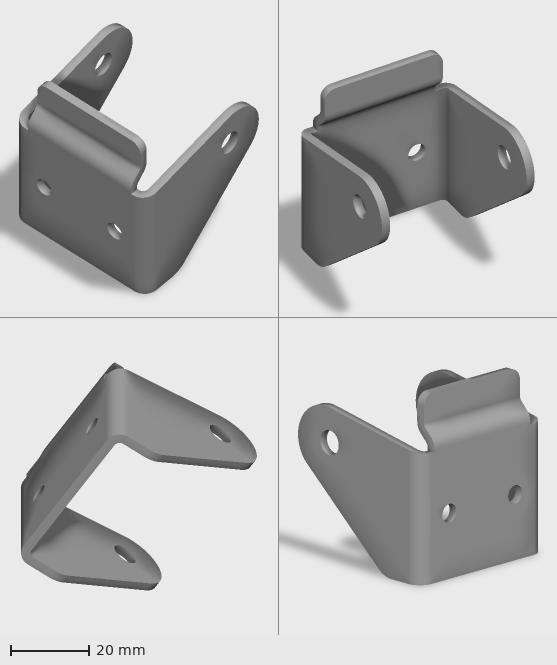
import cadquery as cq
import math

width = 45.1
height = 49.45
depth = 43.9
thickness = 2.4
inner_bend_radius = 1.6
outer_bend_radius = inner_bend_radius + thickness

web_height = 34.75
eye_radius = 9.6
eye_y = depth - eye_radius
eye_z = 31.7
top_slope = math.radians(10.9)
lower_slope = math.radians(41.4)
lower_corner_radius = 6.9
pivot_diameter = 6.6
pivot_y = 32.55

mount_diameter = 5.05
mount_spacing = 23.83
mount_z = 17.45

tab_width = 34.8
tab_corner_radius = 3.2
tab_offset = 3.7
tab_bend_start = 35.75
tab_root_z = web_height - thickness
tab_bend_angle = math.radians(45)


def make_channel():
    """U-shaped channel with rounded bends, open toward +Y."""
    outer = (
        cq.Workplane("XY")
        .rect(width, 2 * depth)
        .extrude(height)
        .edges("|Z")
        .fillet(outer_bend_radius)
        .translate((0, depth, 0))
    )
    inner = (
        cq.Workplane("XY")
        .rect(width - 2 * thickness, 2 * depth)
        .extrude(height)
        .edges("|Z")
        .fillet(inner_bend_radius)
        .translate((0, depth + thickness, 0))
    )
    return outer.cut(inner)


def eye_point(angle):
    """Point (Y, Z) on the eye rim, at an angle measured from +Y toward +Z."""
    return (eye_y + eye_radius * math.cos(angle), eye_z + eye_radius * math.sin(angle))


tangent_y, tangent_z = eye_point(math.pi / 2 + top_slope)
ear_front_z = tangent_z - (tangent_y - outer_bend_radius) * math.tan(top_slope)


def make_side_outline():
    """Ear outline, with straight edges tangent to the eye, across the full width."""
    upper_tangent = eye_point(math.pi / 2 + top_slope)
    lower_tangent = eye_point(lower_slope - math.pi / 2)
    lower_corner_y = lower_tangent[0] - lower_tangent[1] / math.tan(lower_slope)
    return (
        cq.Workplane("YZ")
        .moveTo(0, 0)
        .lineTo(lower_corner_y, 0)
        .lineTo(*lower_tangent)
        .threePointArc(eye_point(0), upper_tangent)
        .lineTo(outer_bend_radius, ear_front_z)
        .lineTo(0, ear_front_z)
        .close()
        .extrude(width / 2, both=True)
        .edges(cq.selectors.NearestToPointSelector((0, lower_corner_y, 0)))
        .fillet(lower_corner_radius)
    )


def make_web_trim():
    """Block that levels the top of the flat web between the two bends."""
    return cq.Workplane("XY").box(
        width - 2 * outer_bend_radius, thickness, height, centered=(True, False, False)
    ).translate((0, 0, web_height))


def make_bend_trim():
    """Cutter on the +X bend whose helical floor descends from the ear edge to the web top."""
    drop = ear_front_z - web_height
    margin = 0.5
    middle_radius = (inner_bend_radius + outer_bend_radius) / 2
    quarter_turn = cq.Wire.makeHelix(pitch=4 * drop, height=drop, radius=middle_radius)
    trim_height = 2 * thickness
    cutter = (
        cq.Workplane("XZ")
        .center(middle_radius, trim_height / 2)
        .rect(thickness + 2 * margin, trim_height)
        .sweep(cq.Workplane(quarter_turn), isFrenet=True)
    )
    bend_x = width / 2 - outer_bend_radius
    return cutter.rotate((0, 0, 0), (0, 0, 1), -90).translate((bend_x, outer_bend_radius, web_height))


def make_tab():
    """Tab that rises from the web, jogs toward +Y and ends in rounded corners."""
    sine = math.sin(tab_bend_angle)
    cosine = math.cos(tab_bend_angle)
    both_radii = outer_bend_radius + inner_bend_radius
    slant_y = tab_offset - both_radii * (1 - cosine)
    slant_z = slant_y / math.tan(tab_bend_angle)
    upper_bend_end = tab_bend_start + both_radii * sine + slant_z

    lower_center = (outer_bend_radius, tab_bend_start)
    upper_center = (tab_offset - inner_bend_radius, upper_bend_end)

    def lower_bend(radius, angle):
        return (lower_center[0] - radius * math.cos(angle), lower_center[1] + radius * math.sin(angle))

    def upper_bend(radius, angle):
        return (upper_center[0] + radius * math.cos(angle), upper_center[1] - radius * math.sin(angle))

    half_angle = tab_bend_angle / 2
    tab = (
        cq.Workplane("YZ")
        .moveTo(0, tab_root_z)
        .lineTo(0, tab_bend_start)
        .threePointArc(
            lower_bend(outer_bend_radius, half_angle),
            lower_bend(outer_bend_radius, tab_bend_angle),
        )
        .lineTo(*upper_bend(inner_bend_radius, tab_bend_angle))
        .threePointArc(upper_bend(inner_bend_radius, half_angle), upper_bend(inner_bend_radius, 0))
        .lineTo(tab_offset, height)
        .lineTo(tab_offset + thickness, height)
        .lineTo(*upper_bend(outer_bend_radius, 0))
        .threePointArc(
            upper_bend(outer_bend_radius, half_angle),
            upper_bend(outer_bend_radius, tab_bend_angle),
        )
        .lineTo(*lower_bend(inner_bend_radius, tab_bend_angle))
        .threePointArc(lower_bend(inner_bend_radius, half_angle), lower_bend(inner_bend_radius, 0))
        .lineTo(thickness, tab_root_z)
        .close()
        .extrude(tab_width / 2, both=True)
    )
    top_corners = tab.faces(">Z").edges("|Y")
    return top_corners.fillet(tab_corner_radius)


def make_pivot_hole():
    """Hole along X through both ears."""
    return (
        cq.Workplane("YZ")
        .center(pivot_y, eye_z)
        .circle(pivot_diameter / 2)
        .extrude(width, both=True)
    )


def make_mount_holes():
    """Pair of holes along Y through the web."""
    return (
        cq.Workplane("XZ")
        .pushPoints([(side * mount_spacing / 2, mount_z) for side in (-1, 1)])
        .circle(mount_diameter / 2)
        .extrude(2 * thickness, both=True)
    )


body = make_channel().intersect(make_side_outline()).cut(make_web_trim())
bend_trim = make_bend_trim()
body = body.cut(bend_trim).cut(bend_trim.mirror("YZ"))
body = body.union(make_tab())
result = body.cut(make_pivot_hole()).cut(make_mount_holes())